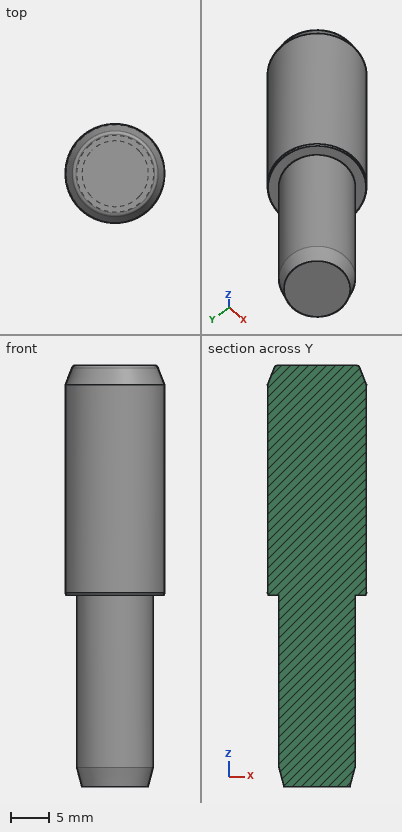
import cadquery as cq
import math

total_length = 55.0
head_length = 30.05
head_radius = 6.5
shank_radius = 5.0
tip_length = 2.6
shank_tip_angle = 15
head_tip_angle = 21.5
shoulder_chamfer_width = 0.1
shoulder_chamfer_height = 0.35
crown_round = 0.5

shoulder_height = total_length - head_length
shank_end_radius = shank_radius - tip_length * math.tan(math.radians(shank_tip_angle))
head_end_radius = head_radius - tip_length * math.tan(math.radians(head_tip_angle))

outline = (
    cq.Workplane("XZ")
    .lineTo(shank_end_radius, 0)
    .lineTo(shank_radius, tip_length)
    .lineTo(shank_radius, shoulder_height)
    .lineTo(head_radius - shoulder_chamfer_width, shoulder_height)
    .lineTo(head_radius, shoulder_height + shoulder_chamfer_height)
    .lineTo(head_radius, total_length - tip_length)
    .lineTo(head_end_radius, total_length)
    .lineTo(0, total_length)
    .close()
)
pin = outline.revolve(360, (0, 0, 0), (0, 1, 0))

result = pin.faces(">Z").edges().fillet(crown_round)